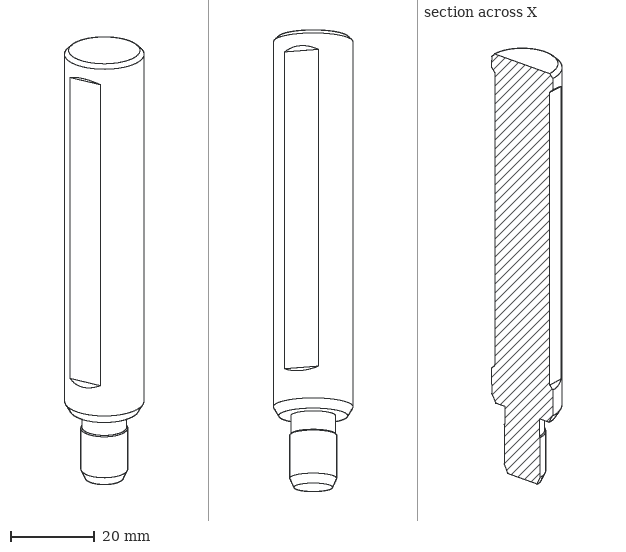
import cadquery as cq

total_length = 110.0
body_diameter = 19.04
shank_diameter = 11.23
neck_diameter = 10.7
shoulder_height = 17.5

neck_length = 4.5
neck_step = (shank_diameter - neck_diameter) / 2

top_chamfer = 1.0
lower_bevel_height = 2.2
body_bevel_inset = 1.27
shank_bevel_inset = 1.0

flat_depth = 1.0
flat_bottom = 27.5
flat_top = 105.0

body_radius = body_diameter / 2
shank_radius = shank_diameter / 2
neck_radius = neck_diameter / 2
neck_bottom = shoulder_height - neck_length


def turned_pin():
    """Revolve the half profile (radius, height) about the Z axis."""
    profile = [
        (0, 0),
        (shank_radius - shank_bevel_inset, 0),
        (shank_radius, lower_bevel_height),
        (shank_radius, neck_bottom - neck_step),
        (neck_radius, neck_bottom),
        (neck_radius, shoulder_height),
        (body_radius - body_bevel_inset, shoulder_height),
        (body_radius, shoulder_height + lower_bevel_height),
        (body_radius, total_length - top_chamfer),
        (body_radius - top_chamfer, total_length),
        (0, total_length),
    ]
    return cq.Workplane("XZ").polyline(profile).close().revolve(360, (0, 0), (0, 1))


def flat_cutter(side):
    """Cutter for one flat with 45 degree run-outs; side is -1 or +1 along Y."""
    floor = side * (body_radius - flat_depth)
    rim = side * body_radius
    section = [
        (floor, flat_bottom),
        (rim, flat_bottom - flat_depth),
        (rim, flat_top + flat_depth),
        (floor, flat_top),
    ]
    return cq.Workplane("YZ").polyline(section).close().extrude(body_radius, both=True)


result = turned_pin()
for side in (-1, 1):
    result = result.cut(flat_cutter(side))